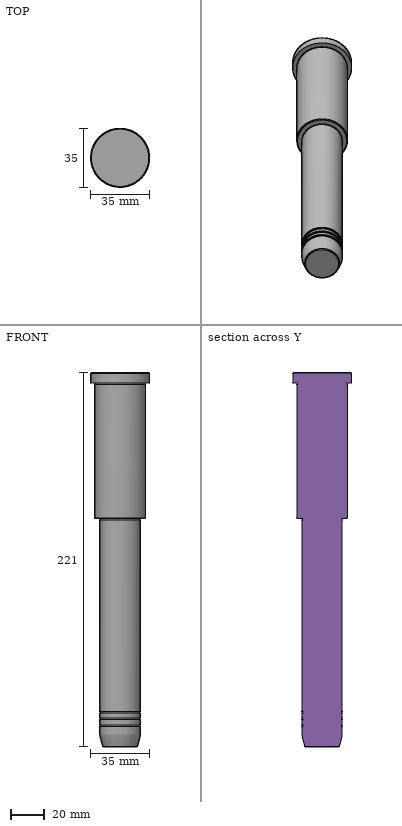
import cadquery as cq

length = 221.0
head_diameter = 35.0
body_diameter = 30.0
pin_diameter = 24.0

head_height = 6.2
body_height = 80.0

edge_chamfer = 0.5
tip_chamfer = 0.5

tip_diameter = 20.3
lead_height = 7.0
lead_bulge = 0.13

relief_height = 0.7
relief_depth = 0.2

groove_count = 3
groove_width = 0.9
groove_depth = 0.5
groove_pitch = 4.0
lowest_groove_bottom = 12.2

head_bottom = length - head_height
body_bottom = head_bottom - body_height


def cylinder(diameter, bottom, top):
    """Cylinder on the Z axis between two heights."""
    return cq.Workplane("XY").workplane(offset=bottom).circle(diameter / 2).extrude(top - bottom)


def make_head():
    """Head disc with its upper rim chamfered."""
    return cylinder(head_diameter, head_bottom, length).faces(">Z").edges().chamfer(edge_chamfer)


def make_body():
    """Thick fitting length below the head, chamfered at its lower rim."""
    return cylinder(body_diameter, body_bottom, head_bottom).faces("<Z").edges().chamfer(edge_chamfer)


def make_pin():
    """Thin guide length whose lower end curves in to the flat tip."""
    pin_radius = pin_diameter / 2
    tip_radius = tip_diameter / 2
    lead_middle = ((pin_radius + tip_radius) / 2 + lead_bulge, lead_height / 2)
    half_section = (
        cq.Workplane("XZ")
        .lineTo(tip_radius, 0)
        .threePointArc(lead_middle, (pin_radius, lead_height))
        .lineTo(pin_radius, body_bottom)
        .lineTo(0, body_bottom)
        .close()
    )
    pin = half_section.revolve(360, (0, 0, 0), (0, 1, 0))
    return pin.faces("<Z").edges().chamfer(tip_chamfer)


def make_groove(diameter, depth, bottom, width):
    """Square ring that cuts a groove into a cylinder of the given diameter."""
    top = bottom + width
    core = cylinder(diameter - 2 * depth, bottom, top)
    return cylinder(diameter, bottom, top).cut(core)


result = make_head().union(make_body()).union(make_pin())

for diameter, shoulder_z in ((body_diameter, head_bottom), (pin_diameter, body_bottom)):
    relief_bottom = shoulder_z - relief_height
    result = result.cut(make_groove(diameter, relief_depth, relief_bottom, relief_height))

for index in range(groove_count):
    groove_bottom = lowest_groove_bottom + index * groove_pitch
    result = result.cut(make_groove(pin_diameter, groove_depth, groove_bottom, groove_width))